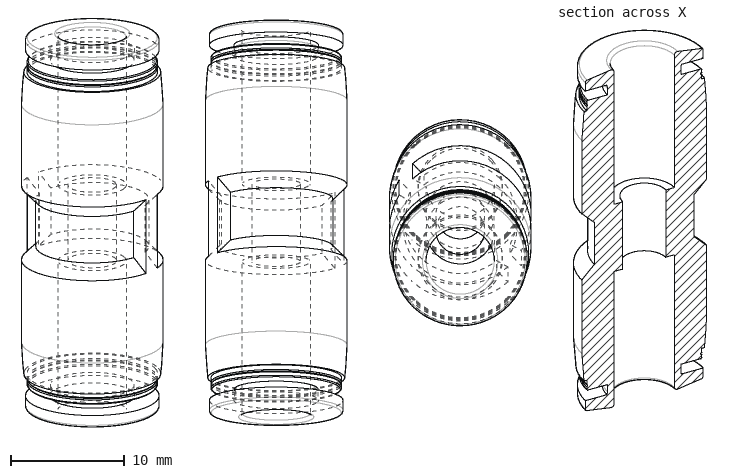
import cadquery as cq

length = 34.9
body_diameter = 12.5
half_length = length / 2
body_radius = body_diameter / 2

button_radius = 11.8 / 2
crown_radius = 5.72
crown_depth = 0.4
button_rim_depth = 0.6
button_depth = 1.5
neck_radius = 7.4 / 2
neck_flare_radius = 3.75
neck_flare_depth = 1.8

collar_radius = 11.5 / 2
collar_depth = 2.48
collar_joint_depth = 3.0
collar_chamfer = 0.1
shoulder_depth = 3.52
shoulder_radius = 6.05
shoulder_mid_radius = 6.18
shoulder_mid_depth = 5.0
barrel_depth = 6.45

waist_radius = 5.0
waist_height = 6.8
waist_slope = body_radius - waist_radius
web_width = 1.9

through_radius = 4.3 / 2
socket_radius = 6.0 / 2
socket_depth = 13.95
mouth_round = 0.3


def make_upper_end():
    """Revolve the outside of one end, from the barrel to the end face."""
    def at(radius, depth):
        return radius, half_length - depth

    profile = (
        cq.Workplane("XZ")
        .moveTo(*at(0, barrel_depth))
        .lineTo(*at(body_radius, barrel_depth))
        .threePointArc(
            at(shoulder_mid_radius, shoulder_mid_depth),
            at(shoulder_radius, shoulder_depth),
        )
        .lineTo(*at(collar_radius, shoulder_depth))
        .lineTo(*at(collar_radius, collar_joint_depth + collar_chamfer))
        .lineTo(*at(collar_radius - collar_chamfer, collar_joint_depth))
        .lineTo(*at(collar_radius, collar_joint_depth - collar_chamfer))
        .lineTo(*at(collar_radius, collar_depth + collar_chamfer))
        .lineTo(*at(collar_radius - collar_chamfer, collar_depth))
        .lineTo(*at(neck_radius, collar_depth))
        .lineTo(*at(neck_radius, neck_flare_depth))
        .lineTo(*at(neck_flare_radius, button_depth))
        .lineTo(*at(button_radius, button_depth))
        .lineTo(*at(button_radius, button_rim_depth))
        .tangentArcPoint(at(crown_radius, crown_depth), relative=False)
        .lineTo(*at(socket_radius + mouth_round, 0))
        .lineTo(0, half_length)
        .close()
    )
    return profile.revolve(360, (0, 0, 0), (0, 1, 0))


def make_waist_cut():
    """Ring with sloped ends, interrupted by the two webs."""
    outer_half = waist_height / 2
    inner_half = outer_half - waist_slope
    margin = 0.35
    ring = (
        cq.Workplane("XZ")
        .polyline([
            (waist_radius, -inner_half),
            (body_radius + margin, -outer_half - margin),
            (body_radius + margin, outer_half + margin),
            (waist_radius, inner_half),
        ])
        .close()
        .revolve(360, (0, 0, 0), (0, 1, 0))
    )
    webs = cq.Workplane("XY").box(2 * body_diameter, web_width, length)
    return ring.cut(webs)


def make_socket():
    """Tube socket in the upper end, with a rounded mouth."""
    mouth_radius = socket_radius + mouth_round
    centre_offset = mouth_round * 0.5 ** 0.5
    socket = (
        cq.Workplane("XZ")
        .moveTo(0, half_length - socket_depth)
        .lineTo(socket_radius, half_length - socket_depth)
        .lineTo(socket_radius, half_length - mouth_round)
        .threePointArc(
            (mouth_radius - centre_offset, half_length - mouth_round + centre_offset),
            (mouth_radius, half_length),
        )
        .lineTo(0, half_length)
        .close()
    )
    return socket.revolve(360, (0, 0, 0), (0, 1, 0))


barrel = cq.Workplane("XY").cylinder(length - 2 * barrel_depth, body_radius)
upper_end = make_upper_end()
socket = make_socket()
through_bore = cq.Workplane("XY").cylinder(length, through_radius)

result = (
    barrel
    .union(upper_end)
    .union(upper_end.mirror("XY"))
    .cut(socket)
    .cut(socket.mirror("XY"))
    .cut(through_bore)
    .cut(make_waist_cut())
    .clean()
)